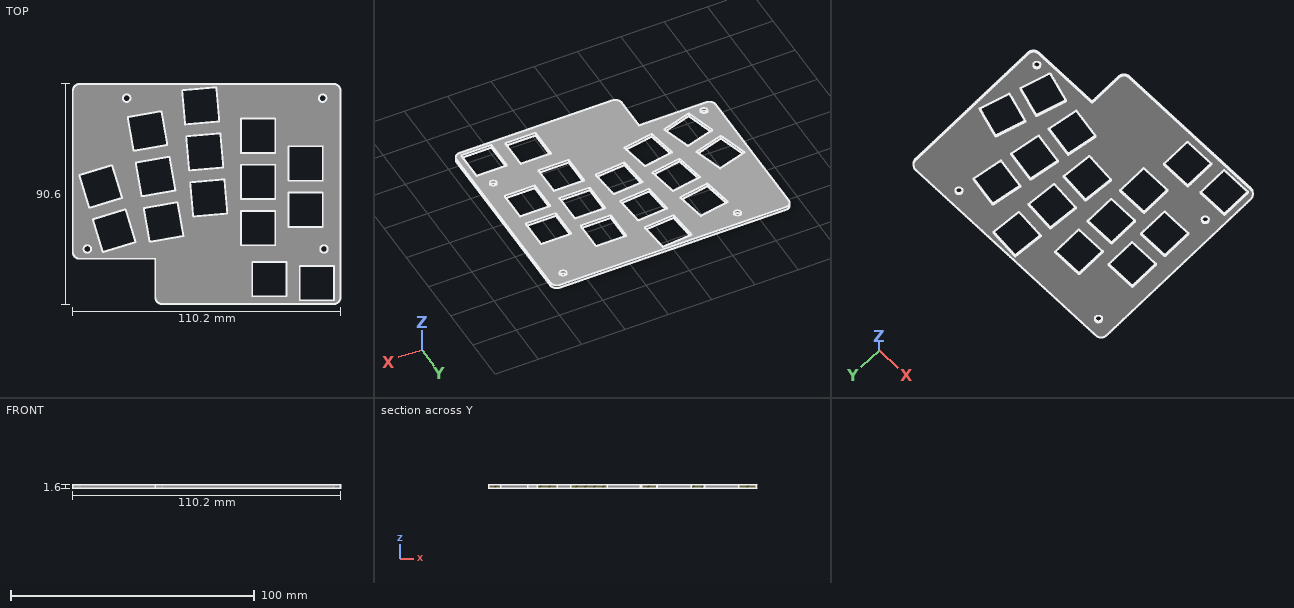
import cadquery as cq

plate_length = 110.19
plate_width = 90.62
plate_thickness = 1.6
corner_radius = 3.0

notch_length = 33.9
notch_width = 18.6

window_side = 14.0
key_pitch = 19.0

key_columns = [
    ((-40.80, -6.00), 2, 17.0),
    ((-21.02, 7.19), 3, 10.0),
    ((-0.80, 17.32), 3, 5.0),
    ((21.16, 4.95), 3, 0.0),
    ((40.68, 3.03), 2, 0.0),
]

thumb_keys = [(25.77, -34.98), (45.28, -36.66)]

screw_diameter = 3.0
screw_centres = [
    (-32.89, 39.40),
    (47.67, 39.40),
    (-49.06, -22.60),
    (48.18, -22.60),
]


def make_plate():
    """Plate with a sharp inner notch corner and every outer corner rounded."""
    left = -plate_length / 2
    right = plate_length / 2
    front = -plate_width / 2
    back = plate_width / 2
    notch_x = left + notch_length
    notch_y = front + notch_width

    outline = [
        (notch_x, front),
        (right, front),
        (right, back),
        (left, back),
        (left, notch_y),
        (notch_x, notch_y),
    ]
    plate = cq.Workplane("XY").polyline(outline).close().extrude(plate_thickness)
    inner_corner = cq.selectors.NearestToPointSelector((notch_x, notch_y, plate_thickness / 2))
    outer_corners = cq.selectors.SubtractSelector(cq.selectors.StringSyntaxSelector("|Z"), inner_corner)
    return plate.edges(outer_corners).fillet(corner_radius)


def make_column(centre, key_count, tilt):
    """Cutter for a straight row of evenly spaced windows, turned about its centre."""
    return (
        cq.Workplane("XY")
        .transformed(offset=(*centre, 0), rotate=(0, 0, tilt))
        .rarray(key_pitch, key_pitch, 1, key_count)
        .rect(window_side, window_side)
        .extrude(plate_thickness)
    )


def make_screw_holes():
    """Cutter for the mounting holes."""
    return (
        cq.Workplane("XY")
        .pushPoints(screw_centres)
        .circle(screw_diameter / 2)
        .extrude(plate_thickness)
    )


result = make_plate()

for column_centre, column_keys, column_tilt in key_columns:
    result = result.cut(make_column(column_centre, column_keys, column_tilt))

for thumb_centre in thumb_keys:
    result = result.cut(make_column(thumb_centre, key_count=1, tilt=0))

result = result.cut(make_screw_holes())